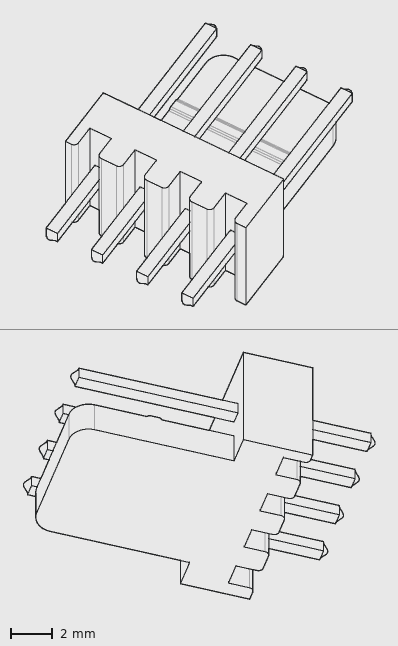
import cadquery as cq
import math

pin_count = 4
pitch = 2.54
pin_size = 0.65
pin_offset = -0.08
pin_length = 15.3
pin_front = -3.5
tip_length = 0.3
tip_steps = 12
tip_tolerance = 0.0001

body_width = 10.15
body_depth = 3.49
body_height = 6.0
slot_width = 1.21
slot_depth = 1.3
rib_round = 0.25

tab_end = 11.49
tab_width = 7.16
tab_height = 1.71
tab_round = 1.0

ridge_center = 7.49
ridge_base = 0.84
ridge_top = 0.45
ridge_height = 0.1

pin_height = body_height / 2
pin_places = [pin_offset + (i - (pin_count - 1) / 2) * pitch for i in range(pin_count)]


def box(width, depth, height, x_center, y_start, z_start):
    """Box centred on x_center, rising from y_start and z_start."""
    return (
        cq.Workplane("XY")
        .box(width, depth, height, centered=(True, False, False))
        .translate((x_center, y_start, z_start))
    )


def make_body():
    """Block with one full-height slot per pin and rounded slot mouths."""
    body = box(body_width, body_depth, body_height, 0, 0, 0)
    for x in pin_places:
        body = body.cut(box(slot_width, slot_depth, body_height, x, 0, 0))
    mouth_edges = cq.selectors.BoxSelector(
        (-body_width / 2 + rib_round, -rib_round, 0),
        (body_width / 2 - rib_round, rib_round, body_height),
    )
    return body.edges("|Z").edges(mouth_edges).fillet(rib_round)


def make_tab():
    """Flat locking tab behind the body with rounded far corners."""
    tab = box(tab_width, tab_end - body_depth, tab_height, 0, body_depth, 0)
    return tab.edges("|Z and >Y").fillet(tab_round)


def make_ridge():
    """Low ridge across the tab; each flank is an S of two equal tangent arcs."""
    y_base = ridge_base / 2
    y_top = ridge_top / 2
    y_mid = (y_base + y_top) / 2
    z_mid = tab_height + ridge_height / 2
    z_top = tab_height + ridge_height
    run = y_base - y_mid
    rise = ridge_height / 2
    arc_radius = (run**2 + rise**2) / (2 * rise)
    return (
        cq.Workplane("YZ", origin=(-tab_width / 2, ridge_center, 0))
        .moveTo(-y_base, 0)
        .lineTo(-y_base, tab_height)
        .radiusArc((-y_mid, z_mid), -arc_radius)
        .radiusArc((-y_top, z_top), arc_radius)
        .lineTo(y_top, z_top)
        .radiusArc((y_mid, z_mid), arc_radius)
        .radiusArc((y_base, tab_height), -arc_radius)
        .lineTo(y_base, 0)
        .close()
        .extrude(tab_width)
    )


def make_tip(x, y_base, direction):
    """Smooth dome on a square base; its height is a half sine wave across both sides."""
    def dome_point(i, j):
        wave = math.sin(math.pi * i / tip_steps) * math.sin(math.pi * j / tip_steps)
        return cq.Vector(
            x + pin_size * (i / tip_steps - 0.5),
            y_base + direction * tip_length * wave,
            pin_height + pin_size * (j / tip_steps - 0.5),
        )

    steps = range(tip_steps + 1)
    points = [[dome_point(i, j) for j in steps] for i in steps]
    dome = cq.Face.makeSplineApprox(points, tol=tip_tolerance, minDeg=3, maxDeg=6)
    base = cq.Face.makeFromWires(dome.outerWire())
    return cq.Workplane(cq.Solid.makeSolid(cq.Shell.makeShell([base, dome])))


def make_pin(x):
    """Square pin along Y with a smooth pointed tip at each end."""
    shank_length = pin_length - 2 * tip_length
    shank = box(
        pin_size, shank_length, pin_size,
        x, pin_front + tip_length, pin_height - pin_size / 2,
    )
    front_tip = make_tip(x, pin_front + tip_length, -1)
    rear_tip = make_tip(x, pin_front + tip_length + shank_length, 1)
    return shank.union(front_tip).union(rear_tip)


result = make_body().union(make_tab()).union(make_ridge())
for pin_x in pin_places:
    result = result.union(make_pin(pin_x))